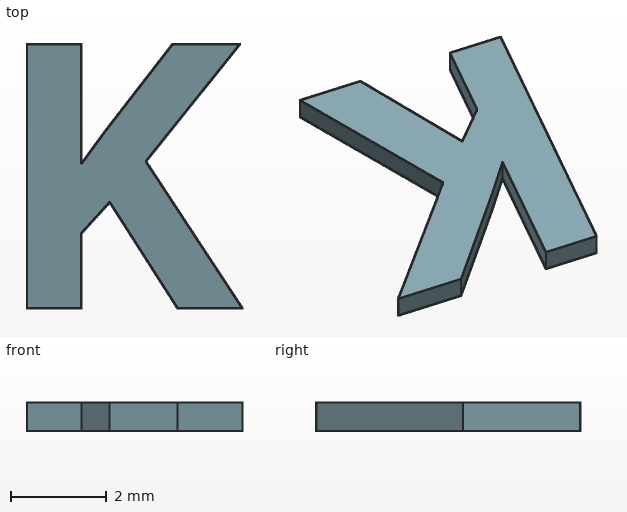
import cadquery as cq

width = 4.51
height = 5.53
thickness = 0.6

stem_width = 1.14

arm_top_left = 3.045
arm_top_right = 4.46

arm_bend = (1.62, 3.688)

leg_bottom_left = 3.15

upper_notch_y = 3.03
lower_notch_y = 1.57
elbow = (1.73, 2.22)
right_crotch = (2.49, 3.075)

outline = [
    (0, 0),
    (stem_width, 0),
    (stem_width, lower_notch_y),
    elbow,
    (leg_bottom_left, 0),
    (width, 0),
    right_crotch,
    (arm_top_right, height),
    (arm_top_left, height),
    arm_bend,
    (stem_width, upper_notch_y),
    (stem_width, height),
    (0, height),
]

result = cq.Workplane("XY").polyline(outline).close().extrude(thickness)